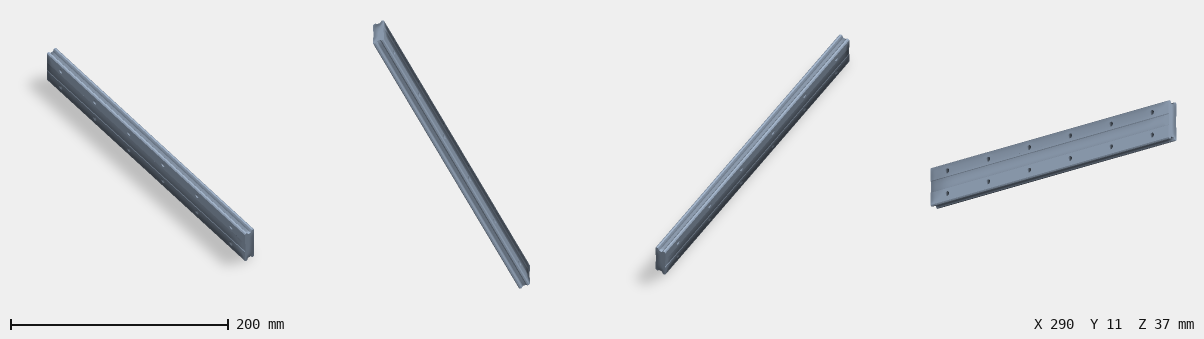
import cadquery as cq

length = 290.0
thickness = 11.0
height = 37.0

recess_height = 10.5
recess_depth = 0.5
recess_slope = 0.5

groove_mouth = 6.0
groove_floor = 3.0
groove_depth = 2.5

lip_bevel = 1.0

hole_diameter = 4.5
hole_count = 6
hole_pitch = 50.0
row_spacing = 22.0

half_thickness = thickness / 2
half_height = height / 2


def quarter_outline():
    """Points (y, z) from the middle of the recess to the groove floor, for y > 0 and z > 0."""
    return [
        (half_thickness - recess_depth, recess_height / 2),
        (half_thickness, recess_height / 2 + recess_slope),
        (half_thickness, half_height - lip_bevel),
        (half_thickness - lip_bevel, half_height),
        (groove_mouth / 2, half_height),
        (groove_floor / 2, half_height - groove_depth),
    ]


def make_rail():
    """Extrude the section, which is symmetric about both Y and Z, along X."""
    quarter = quarter_outline()
    upper = quarter + [(-y, z) for y, z in reversed(quarter)]
    lower = [(-y, -z) for y, z in upper]
    return cq.Workplane("YZ").polyline(upper + lower).close().extrude(length / 2, both=True)


def drill_holes(rail):
    """Drill the grid of holes through the thickness."""
    return (
        rail.faces(">Y")
        .workplane(origin=(0, half_thickness, 0))
        .rarray(hole_pitch, row_spacing, hole_count, 2)
        .hole(hole_diameter)
    )


result = drill_holes(make_rail())